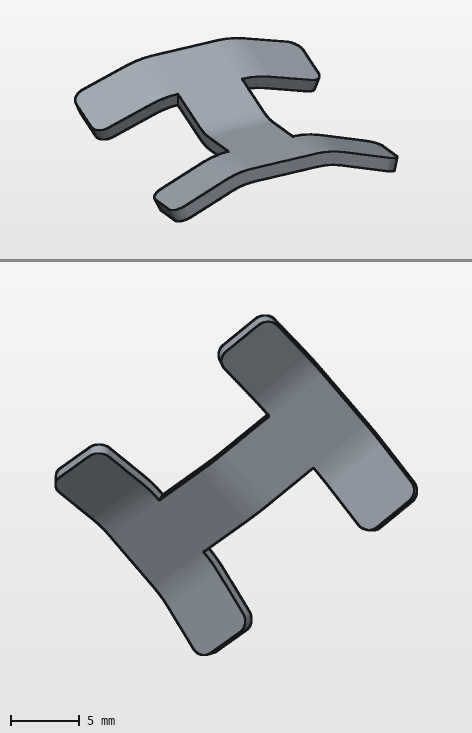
import cadquery as cq
import math

thickness = 1.0
strip_width = 5.0
bend_angle = 20.0
bend_inner_radius = 5.0
web_flat_length = 9.3
span = 17.72
tip_corner_radius = 1.0

bend_outer_radius = bend_inner_radius + thickness
half_width = strip_width / 2
sin_bend = math.sin(math.radians(bend_angle))
cos_bend = math.cos(math.radians(bend_angle))
arm_flat_length = (span / 2 - half_width - bend_outer_radius * sin_bend) / cos_bend


def polar_point(origin, distance, angle):
    """Point at a distance from an origin, with the angle in degrees from the first axis."""
    a = math.radians(angle)
    return (origin[0] + distance * math.cos(a), origin[1] + distance * math.sin(a))


def make_arm(x_start, side):
    """Arm bending down from the web edge; side is +1 for +Y and -1 for -Y."""
    center = (half_width, -bend_outer_radius)
    bend_end = 90 - bend_angle
    bend_middle = 90 - bend_angle / 2
    top_end = polar_point(center, bend_outer_radius, bend_end)
    bottom_end = polar_point(center, bend_inner_radius, bend_end)
    arm = (
        cq.Workplane("YZ", origin=(x_start, 0, 0))
        .moveTo(0, 0)
        .lineTo(half_width, 0)
        .threePointArc(polar_point(center, bend_outer_radius, bend_middle), top_end)
        .lineTo(*polar_point(top_end, arm_flat_length, -bend_angle))
        .lineTo(*polar_point(bottom_end, arm_flat_length, -bend_angle))
        .lineTo(*bottom_end)
        .threePointArc(polar_point(center, bend_inner_radius, bend_middle), (half_width, -thickness))
        .lineTo(0, -thickness)
        .close()
        .extrude(strip_width)
    )
    tip_corners = cq.selectors.ParallelDirSelector(cq.Vector(0, sin_bend, cos_bend))
    arm = arm.edges(tip_corners).fillet(tip_corner_radius)
    return arm if side > 0 else arm.mirror("XZ")


def make_crosspiece(x_start):
    """Two mirrored arms joined at the middle, top face at Z = 0."""
    return make_arm(x_start, 1).union(make_arm(x_start, -1))


web_center = (web_flat_length, bend_inner_radius)
web_bend_end = -90 + bend_angle
web_bend_middle = -90 + bend_angle / 2
web_top_bend_end = polar_point(web_center, bend_inner_radius, web_bend_end)
web_bottom_bend_end = polar_point(web_center, bend_outer_radius, web_bend_end)
web_top_tip = polar_point(web_top_bend_end, web_flat_length, bend_angle)
web_bottom_tip = polar_point(web_bottom_bend_end, web_flat_length, bend_angle)
web = (
    cq.Workplane("XZ")
    .moveTo(0, 0)
    .lineTo(web_flat_length, 0)
    .threePointArc(polar_point(web_center, bend_inner_radius, web_bend_middle), web_top_bend_end)
    .lineTo(*web_top_tip)
    .lineTo(*web_bottom_tip)
    .lineTo(*web_bottom_bend_end)
    .threePointArc(
        polar_point(web_center, bend_outer_radius, web_bend_middle), (web_flat_length, -thickness)
    )
    .lineTo(0, -thickness)
    .close()
    .extrude(half_width, both=True)
)

level_crosspiece = make_crosspiece(0)
raised_crosspiece = (
    make_crosspiece(-strip_width)
    .rotate((0, 0, 0), (0, 1, 0), -bend_angle)
    .translate((web_top_tip[0], 0, web_top_tip[1]))
)

result = web.union(level_crosspiece).union(raised_crosspiece)